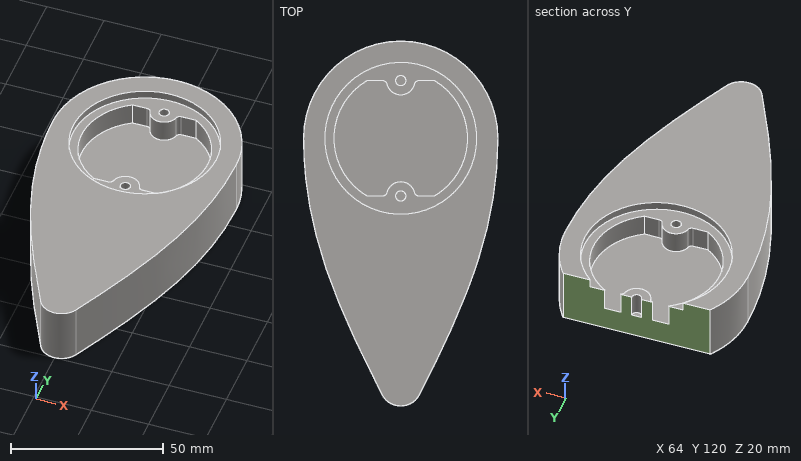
import cadquery as cq
import math

length = 120.0
width = 64.0
height = 20.0
head_radius = width / 2
tip_radius = 7.0
tip_y = head_radius - length
tip_center_y = tip_y + tip_radius
tip_angle = math.radians(27)
flank_mid_x = 24.4
flank_mid_y = -43.5

recess_radius = 25.0
recess_depth = 3.0
pocket_radius = 22.0
pocket_half_length = 19.0
pocket_depth = 8.0

boss_radius = 4.7
boss_fillet = 1.5
hole_radius = 1.7
screw_offset = pocket_half_length

recess_floor = height - recess_depth
pocket_floor = recess_floor - pocket_depth


def make_body():
    """Round head with curved flanks that run smoothly into a rounded tip."""
    flank_end_x = tip_radius * math.cos(tip_angle)
    flank_end_y = tip_center_y - tip_radius * math.sin(tip_angle)
    slope_x = math.sin(tip_angle)
    slope_y = math.cos(tip_angle)
    return (
        cq.Workplane("XY")
        .moveTo(-head_radius, 0)
        .threePointArc((0, head_radius), (head_radius, 0))
        .spline(
            [(flank_mid_x, flank_mid_y), (flank_end_x, flank_end_y)],
            tangents=[(0, -1), (-slope_x, -slope_y)],
            includeCurrent=True,
        )
        .threePointArc((0, tip_y), (-flank_end_x, flank_end_y))
        .spline(
            [(-flank_mid_x, flank_mid_y), (-head_radius, 0)],
            tangents=[(-slope_x, slope_y), (0, 1)],
            includeCurrent=True,
        )
        .close()
        .extrude(height)
    )


def make_pocket():
    """Circle cut off by two flats, with a filleted bite at each screw boss."""
    base = cq.Workplane("XY").workplane(offset=pocket_floor)
    flats = base.rect(2 * pocket_radius, 2 * pocket_half_length).extrude(pocket_depth)
    bosses = (
        base.pushPoints([(0, screw_offset), (0, -screw_offset)])
        .circle(boss_radius)
        .extrude(pocket_depth)
    )
    pocket = base.circle(pocket_radius).extrude(pocket_depth).intersect(flats).cut(bosses)
    for side in (1, -1):
        for end in (1, -1):
            corner = (side * boss_radius, end * pocket_half_length, pocket_floor + pocket_depth / 2)
            pocket = pocket.edges(cq.selectors.NearestToPointSelector(corner)).fillet(boss_fillet)
    return pocket


recess = cq.Workplane("XY").workplane(offset=recess_floor).circle(recess_radius).extrude(recess_depth)
screw_holes = (
    cq.Workplane("XY")
    .workplane(offset=pocket_floor)
    .pushPoints([(0, screw_offset), (0, -screw_offset)])
    .circle(hole_radius)
    .extrude(pocket_depth)
)

result = make_body().cut(recess).cut(make_pocket()).cut(screw_holes)